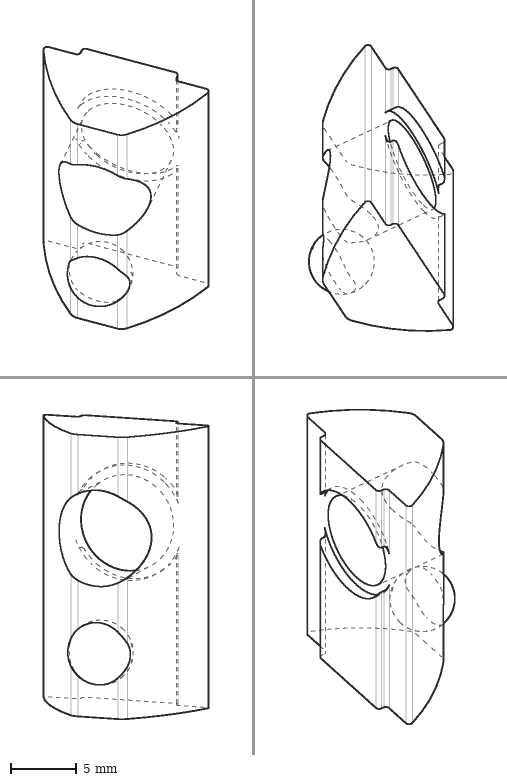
import cadquery as cq
import math


LENGTH = 22.0
RIB_HALF_WIDTH = 3.9
RIB_HEIGHT = 0.8
CORNER_HALF_WIDTH = 6.85
FRONT_HALF_WIDTH = 2.0
DEPTH = 7.6
FLANK_RADIUS = 17.6
EDGE_RADIUS = 0.3
FRONT_EDGE_RADIUS = 1.0

HOLE_DIAMETER = 7.5
HOLE_HEIGHT = 14.0
RECESS_DIAMETER = 9.0

BALL_DIAMETER = 5.0
BALL_HEIGHT = 5.0
TOTAL_DEPTH = 9.5
BALL_Y = BALL_DIAMETER / 2 - TOTAL_DEPTH


def flank_bulge():
    """Greatest distance of the flank arc from its chord."""
    chord = math.hypot(CORNER_HALF_WIDTH - FRONT_HALF_WIDTH, DEPTH - RIB_HEIGHT)
    return FLANK_RADIUS - math.sqrt(FLANK_RADIUS**2 - (chord / 2) ** 2)


def make_sharp_body():
    """Nut section with sharp corners, extruded along Z."""
    return (
        cq.Workplane("XY")
        .moveTo(-RIB_HALF_WIDTH, 0)
        .lineTo(-RIB_HALF_WIDTH, -RIB_HEIGHT)
        .lineTo(-CORNER_HALF_WIDTH, -RIB_HEIGHT)
        .sagittaArc((-FRONT_HALF_WIDTH, -DEPTH), -flank_bulge())
        .lineTo(FRONT_HALF_WIDTH, -DEPTH)
        .sagittaArc((CORNER_HALF_WIDTH, -RIB_HEIGHT), -flank_bulge())
        .lineTo(RIB_HALF_WIDTH, -RIB_HEIGHT)
        .lineTo(RIB_HALF_WIDTH, 0)
        .close()
        .extrude(LENGTH)
    )


def round_long_edges(body):
    """Round the edges beside the front flat, then the rib and shoulder edges."""
    front_edges = body.faces("<Y").edges("|Z")
    body = front_edges.fillet(FRONT_EDGE_RADIUS)
    back_edges = cq.selectors.BoxSelector(
        (-2 * CORNER_HALF_WIDTH, -RIB_HEIGHT - EDGE_RADIUS, 0),
        (2 * CORNER_HALF_WIDTH, EDGE_RADIUS, LENGTH),
    )
    return body.edges("|Z").edges(back_edges).fillet(EDGE_RADIUS)


def make_cross_hole():
    """Through hole along Y, widened where it passes through the rib."""
    axis = cq.Workplane("XZ").center(0, HOLE_HEIGHT)
    through_hole = axis.circle(HOLE_DIAMETER / 2).extrude(DEPTH)
    rib_recess = axis.circle(RECESS_DIAMETER / 2).extrude(RIB_HEIGHT)
    return through_hole.union(rib_recess)


def make_ball():
    """Ball set into the front flat below the cross hole, with its pole facing -Y."""
    return cq.Workplane("XZ").sphere(BALL_DIAMETER / 2).translate((0, BALL_Y, BALL_HEIGHT))


def make_nut():
    """Rounded nut with the cross hole and a seat that matches the ball."""
    body = round_long_edges(make_sharp_body())
    return body.cut(make_cross_hole()).cut(make_ball())


nut = make_nut()
ball = make_ball()

result = cq.Compound.makeCompound([nut.solids().val(), ball.val()])